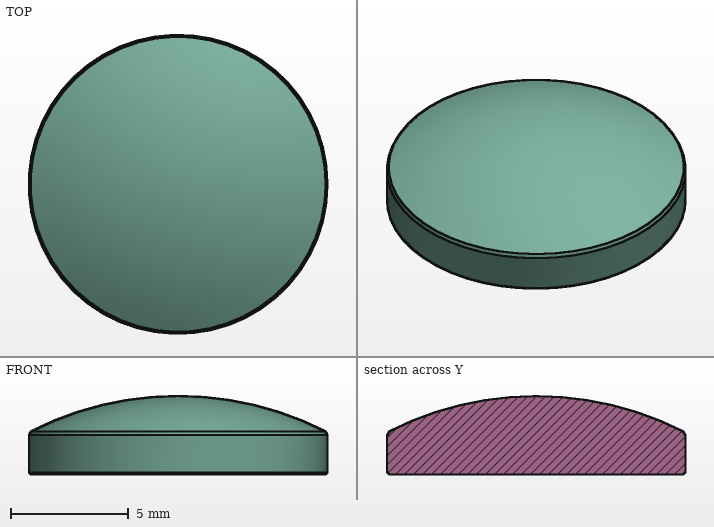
import cadquery as cq
import math

diameter = 12.7
centre_thickness = 3.35
edge_thickness = 1.8
bottom_bevel = 0.1
top_bevel_width = 0.08
top_bevel_height = 0.16

rim_radius = diameter / 2
full_sag = centre_thickness - edge_thickness
dome_radius = (rim_radius**2 + full_sag**2) / (2 * full_sag)
dome_centre_z = centre_thickness - dome_radius


def dome_height(radius):
    """Height of the spherical face at a distance from the lens axis."""
    return dome_centre_z + math.sqrt(dome_radius**2 - radius**2)


def lens_body():
    """Half section of the lens, turned about the Z axis."""
    dome_edge_radius = rim_radius - top_bevel_width
    dome_edge_z = dome_height(dome_edge_radius)
    dome_middle_radius = dome_edge_radius / 2

    half_section = (
        cq.Workplane("XZ")
        .lineTo(rim_radius - bottom_bevel, 0)
        .lineTo(rim_radius, bottom_bevel)
        .lineTo(rim_radius, dome_edge_z - top_bevel_height)
        .lineTo(dome_edge_radius, dome_edge_z)
        .threePointArc(
            (dome_middle_radius, dome_height(dome_middle_radius)),
            (0, centre_thickness),
        )
        .close()
    )
    return half_section.revolve(360, (0, 0, 0), (0, 1, 0))


result = lens_body()